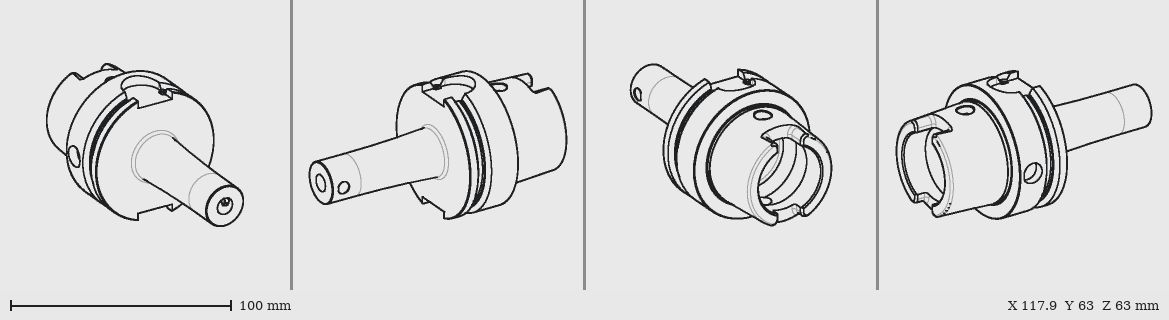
import cadquery as cq
import math


TOTAL_LENGTH = 117.9
TAPER_END_X = 30.0
FLANGE_X = 31.7
FLANGE_WIDTH = 25.9
FLANGE_END_X = FLANGE_X + FLANGE_WIDTH

MOUTH_RADIUS = 22.8
TAPER_END_RADIUS = 24.2
MOUTH_ROUND = 1.1
RELIEF_RADIUS = 23.8
RELIEF_STEP = TAPER_END_RADIUS - RELIEF_RADIUS
FACE_RECESS_RADIUS = 24.9
FACE_RECESS_DEPTH = 0.4

FLANGE_RADIUS = 31.5
FLANGE_EDGE = 0.4
GROOVE_CENTRE_X = 49.81
GROOVE_FLOOR_RADIUS = 27.6
GROOVE_FLOOR_WIDTH = 3.7
GROOVE_TOP_WIDTH = 7.2
GROOVE_WALL_RADIUS = 29.0
GROOVE_ROUND = 0.6

SHANK_RADIUS = 10.0
SHANK_ROOT_RADIUS = 11.5
SHANK_ROOT_ROUND = 1.3
SHANK_STRAIGHT_X = 102.7
SHANK_EDGE = 0.4

CAVITY_RADIUS = 16.9
CAVITY_DEPTH = 33.0
CAVITY_EDGE = 0.7
UNDERCUT_RADIUS = 20.0
UNDERCUT_START_X = 12.4
UNDERCUT_END_X = 25.8
CAVITY_FLOOR_ROUND = 1.3
COUNTERBORE_RADIUS = 8.5
COUNTERBORE_DEPTH = 14.1
COUNTERBORE_EDGE = 0.6
BORE_RADIUS = 4.0

DRIVE_SLOT_HALF_WIDTH = 6.1
DRIVE_SLOT_FLARE_Z = 17.9
DRIVE_SLOT_FLARE_RADIUS = 3.0
DRIVE_SLOT_FLARE_Y = DRIVE_SLOT_HALF_WIDTH + DRIVE_SLOT_FLARE_RADIUS
DRIVE_SLOT_TOP_Z = DRIVE_SLOT_FLARE_Z + DRIVE_SLOT_FLARE_RADIUS
DRIVE_SLOT_INNER_Z = 11.8
DRIVE_SLOT_OUTER_Y = 14.1
DRIVE_SLOT_OUTER_Z = 28.3
TOP_DRIVE_SLOT_DEPTH = 9.9
BOTTOM_DRIVE_SLOT_DEPTH = 6.0
DRIVE_SLOT_END_ROUND = 1.4

KEY_SLOT_RADIUS = 9.1
KEY_SLOT_START_X = 36.7
KEY_SLOT_FLOOR_Z = 26.5
CROSS_HOLE_X = 22.81
CROSS_HOLE_RADIUS = 3.9
CROSS_HOLE_EDGE = 0.4
SIDE_HOLE_X = 38.8
SIDE_HOLE_RADIUS = 5.0
SIDE_HOLE_DEPTH = 4.7

SCREW_X = 111.8
SCREW_RADIUS = 3.0
SCREW_OUTER_Y = 9.4
SCREW_SHOULDER_Y = 4.7
SCREW_POINT_RADIUS = 2.0
SCREW_POINT_Y = 2.4
SCREW_POINT_EDGE = 0.2

CLEARANCE = 5.9


def revolve_about_x(outline):
    return outline.close().revolve(360, (0, 0, 0), (1, 0, 0))


def outer_shape():
    """Taper, relief, flange and shank as one turned solid."""
    arc_run = SHANK_STRAIGHT_X - (FLANGE_END_X + SHANK_ROOT_ROUND)
    arc_rise = SHANK_ROOT_RADIUS - SHANK_RADIUS
    arc_radius = (arc_run**2 + arc_rise**2) / (2 * arc_rise)
    arc_middle_x = SHANK_STRAIGHT_X - arc_run / 2
    arc_middle_r = SHANK_RADIUS + arc_radius - math.sqrt(arc_radius**2 - (arc_run / 2) ** 2)
    mouth_bend = MOUTH_ROUND * (1 - math.sqrt(0.5))
    root_bend = SHANK_ROOT_ROUND * (1 - math.sqrt(0.5))

    outline = (
        cq.Workplane("XY")
        .lineTo(0, MOUTH_RADIUS - MOUTH_ROUND)
        .threePointArc(
            (mouth_bend, MOUTH_RADIUS - mouth_bend),
            (MOUTH_ROUND, MOUTH_RADIUS),
        )
        .lineTo(TAPER_END_X, TAPER_END_RADIUS)
        .lineTo(TAPER_END_X + RELIEF_STEP, RELIEF_RADIUS)
        .lineTo(FLANGE_X + FACE_RECESS_DEPTH, RELIEF_RADIUS)
        .lineTo(FLANGE_X + FACE_RECESS_DEPTH, FACE_RECESS_RADIUS - FACE_RECESS_DEPTH)
        .lineTo(FLANGE_X, FACE_RECESS_RADIUS)
        .lineTo(FLANGE_X, FLANGE_RADIUS - FLANGE_EDGE)
        .lineTo(FLANGE_X + FLANGE_EDGE, FLANGE_RADIUS)
        .lineTo(FLANGE_END_X - FLANGE_EDGE, FLANGE_RADIUS)
        .lineTo(FLANGE_END_X, FLANGE_RADIUS - FLANGE_EDGE)
        .lineTo(FLANGE_END_X, SHANK_ROOT_RADIUS + SHANK_ROOT_ROUND)
        .threePointArc(
            (FLANGE_END_X + root_bend, SHANK_ROOT_RADIUS + root_bend),
            (FLANGE_END_X + SHANK_ROOT_ROUND, SHANK_ROOT_RADIUS),
        )
        .threePointArc((arc_middle_x, arc_middle_r), (SHANK_STRAIGHT_X, SHANK_RADIUS))
        .lineTo(TOTAL_LENGTH - SHANK_EDGE, SHANK_RADIUS)
        .lineTo(TOTAL_LENGTH, SHANK_RADIUS - SHANK_EDGE)
        .lineTo(TOTAL_LENGTH, 0)
    )
    return revolve_about_x(outline)


def gripping_groove():
    """V groove round the flange, with a flat floor and rounded floor corners."""
    half_floor = GROOVE_FLOOR_WIDTH / 2
    half_top = GROOVE_TOP_WIDTH / 2
    ring = revolve_about_x(
        cq.Workplane("XY")
        .moveTo(GROOVE_CENTRE_X - half_floor, GROOVE_FLOOR_RADIUS)
        .lineTo(GROOVE_CENTRE_X - half_floor, GROOVE_WALL_RADIUS)
        .lineTo(GROOVE_CENTRE_X - half_top, FLANGE_RADIUS)
        .lineTo(GROOVE_CENTRE_X - half_top, FLANGE_RADIUS + CLEARANCE)
        .lineTo(GROOVE_CENTRE_X + half_top, FLANGE_RADIUS + CLEARANCE)
        .lineTo(GROOVE_CENTRE_X + half_top, FLANGE_RADIUS)
        .lineTo(GROOVE_CENTRE_X + half_floor, GROOVE_WALL_RADIUS)
        .lineTo(GROOVE_CENTRE_X + half_floor, GROOVE_FLOOR_RADIUS)
    )
    floor_corners = cq.selectors.RadiusNthSelector(0)
    return ring.edges(floor_corners).fillet(GROOVE_ROUND)


def axial_bores():
    """Undercut cavity of the taper, counterbore and through bore as one turned cutter."""
    counterbore_end_x = CAVITY_DEPTH + COUNTERBORE_DEPTH
    floor_bend = CAVITY_FLOOR_ROUND * (1 - math.sqrt(0.5))
    outline = (
        cq.Workplane("XY")
        .lineTo(0, CAVITY_RADIUS + CAVITY_EDGE)
        .lineTo(CAVITY_EDGE, CAVITY_RADIUS)
        .lineTo(UNDERCUT_START_X, CAVITY_RADIUS)
        .lineTo(UNDERCUT_START_X, UNDERCUT_RADIUS)
        .lineTo(UNDERCUT_END_X, UNDERCUT_RADIUS)
        .lineTo(CAVITY_DEPTH - CAVITY_FLOOR_ROUND, CAVITY_RADIUS)
        .threePointArc(
            (CAVITY_DEPTH - floor_bend, CAVITY_RADIUS - floor_bend),
            (CAVITY_DEPTH, CAVITY_RADIUS - CAVITY_FLOOR_ROUND),
        )
        .lineTo(CAVITY_DEPTH, COUNTERBORE_RADIUS + COUNTERBORE_EDGE)
        .lineTo(CAVITY_DEPTH + COUNTERBORE_EDGE, COUNTERBORE_RADIUS)
        .lineTo(counterbore_end_x, COUNTERBORE_RADIUS)
        .lineTo(counterbore_end_x, BORE_RADIUS)
        .lineTo(TOTAL_LENGTH, BORE_RADIUS)
        .lineTo(TOTAL_LENGTH, 0)
    )
    return revolve_about_x(outline)


def drive_slot_outline(x):
    """Slot section at X: straight walls that curve outwards near the outer surface."""
    bend = DRIVE_SLOT_FLARE_RADIUS * (1 - math.sqrt(0.5))
    right_half = (
        (DRIVE_SLOT_OUTER_Y, DRIVE_SLOT_OUTER_Z),
        (DRIVE_SLOT_OUTER_Y, DRIVE_SLOT_TOP_Z),
        (DRIVE_SLOT_FLARE_Y, DRIVE_SLOT_TOP_Z),
    )
    outline = cq.Workplane("YZ", origin=(x, 0, 0)).moveTo(-DRIVE_SLOT_OUTER_Y, DRIVE_SLOT_OUTER_Z)
    for point in right_half:
        outline = outline.lineTo(*point)
    return (
        outline.threePointArc(
            (DRIVE_SLOT_HALF_WIDTH + bend, DRIVE_SLOT_TOP_Z - bend),
            (DRIVE_SLOT_HALF_WIDTH, DRIVE_SLOT_FLARE_Z),
        )
        .lineTo(DRIVE_SLOT_HALF_WIDTH, DRIVE_SLOT_INNER_Z)
        .lineTo(-DRIVE_SLOT_HALF_WIDTH, DRIVE_SLOT_INNER_Z)
        .lineTo(-DRIVE_SLOT_HALF_WIDTH, DRIVE_SLOT_FLARE_Z)
        .threePointArc(
            (-DRIVE_SLOT_HALF_WIDTH - bend, DRIVE_SLOT_TOP_Z - bend),
            (-DRIVE_SLOT_FLARE_Y, DRIVE_SLOT_TOP_Z),
        )
        .lineTo(-DRIVE_SLOT_OUTER_Y, DRIVE_SLOT_TOP_Z)
        .close()
    )


def drive_slot(depth):
    """Slot across the top wall of the taper, with a rounded end and a chamfered mouth."""
    wall_zone = cq.selectors.BoxSelector(
        (depth - 1.2, -DRIVE_SLOT_OUTER_Y, DRIVE_SLOT_INNER_Z + 1.2),
        (depth + 1.2, DRIVE_SLOT_OUTER_Y, DRIVE_SLOT_TOP_Z + 1.2),
    )
    slot = drive_slot_outline(0).extrude(depth).edges(wall_zone).fillet(DRIVE_SLOT_END_ROUND)
    mouth = drive_slot_outline(MOUTH_ROUND).extrude(-MOUTH_ROUND, taper=-45)
    return slot.union(mouth)


def key_slot():
    """Round-ended slot in the top of the flange, open towards the shank."""
    arc_centre_x = KEY_SLOT_START_X + KEY_SLOT_RADIUS
    return (
        cq.Workplane("XY", origin=(0, 0, KEY_SLOT_FLOOR_Z))
        .moveTo(arc_centre_x, KEY_SLOT_RADIUS)
        .threePointArc((KEY_SLOT_START_X, 0), (arc_centre_x, -KEY_SLOT_RADIUS))
        .lineTo(FLANGE_END_X + CLEARANCE, -KEY_SLOT_RADIUS)
        .lineTo(FLANGE_END_X + CLEARANCE, KEY_SLOT_RADIUS)
        .close()
        .extrude(FLANGE_RADIUS)
    )


def cross_hole():
    """Hole straight through both walls of the taper, along Z."""
    return (
        cq.Workplane("XY", origin=(CROSS_HOLE_X, 0, 0))
        .circle(CROSS_HOLE_RADIUS)
        .extrude(FLANGE_RADIUS, both=True)
    )


def side_hole():
    """Flat-bottomed blind hole in the -Y side of the flange."""
    return (
        cq.Workplane("XZ", origin=(SIDE_HOLE_X, SIDE_HOLE_DEPTH - FLANGE_RADIUS, 0))
        .circle(SIDE_HOLE_RADIUS)
        .extrude(SIDE_HOLE_DEPTH + CLEARANCE)
    )


def screw_hole():
    """Radial hole from the +Y side of the shank into the through bore."""
    return (
        cq.Workplane("XZ", origin=(SCREW_X, 0, 0))
        .circle(SCREW_RADIUS)
        .extrude(-(SHANK_RADIUS + CLEARANCE))
    )


def upside_down(cutter):
    return cutter.rotate((0, 0, 0), (1, 0, 0), 180)


def make_holder():
    holder = outer_shape().cut(axial_bores())
    holder = holder.cut(drive_slot(TOP_DRIVE_SLOT_DEPTH))
    holder = holder.cut(upside_down(drive_slot(BOTTOM_DRIVE_SLOT_DEPTH)))
    holder = holder.cut(gripping_groove())
    holder = holder.cut(key_slot()).cut(upside_down(key_slot()))
    holder = holder.cut(cross_hole())
    rim_zone = cq.selectors.BoxSelector(
        (CROSS_HOLE_X - CLEARANCE, -CLEARANCE, -FLANGE_RADIUS),
        (CROSS_HOLE_X + CLEARANCE, CLEARANCE, FLANGE_RADIUS),
    )
    rims = [
        edge
        for edge in holder.edges(rim_zone).vals()
        if abs(edge.Center().x - CROSS_HOLE_X) < 1.2
        and abs(edge.Center().z) > (UNDERCUT_RADIUS + MOUTH_RADIUS) / 2
    ]
    holder = holder.newObject(rims).chamfer(CROSS_HOLE_EDGE)
    holder = holder.cut(side_hole()).cut(screw_hole())
    return holder


def make_clamping_screw():
    """Headless screw with a narrower point that reaches into the through bore."""
    body = (
        cq.Workplane("XZ", origin=(SCREW_X, SCREW_SHOULDER_Y, 0))
        .circle(SCREW_RADIUS)
        .extrude(-(SCREW_OUTER_Y - SCREW_SHOULDER_Y))
    )
    point = (
        cq.Workplane("XZ", origin=(SCREW_X, SCREW_POINT_Y, 0))
        .circle(SCREW_POINT_RADIUS)
        .extrude(-(SCREW_SHOULDER_Y - SCREW_POINT_Y))
        .faces("<Y")
        .chamfer(SCREW_POINT_EDGE)
    )
    return body.union(point)


holder = make_holder()
clamping_screw = make_clamping_screw()
result = cq.Compound.makeCompound([holder.val(), clamping_screw.val()])